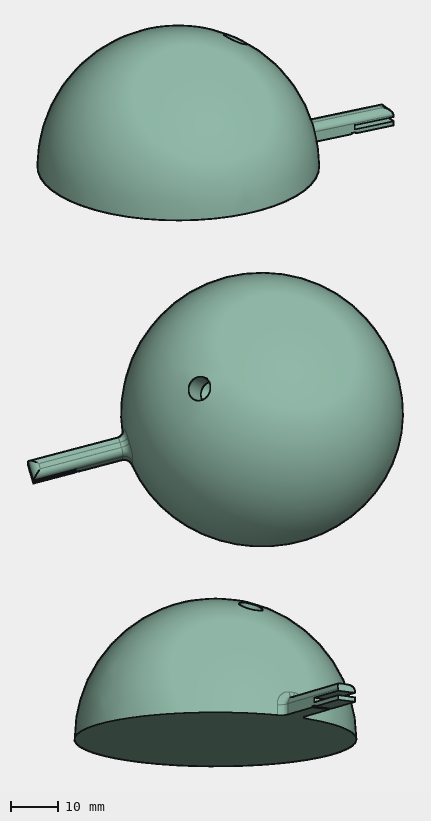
import cadquery as cq
import math

dome_radius = 29.95

stem_end = 80.9 - dome_radius
stem_width = 4.3
stem_height = 4.0
stem_edge_radius = 1.5
root_fillet = 1.8

tip_radius = 1.95

slot_length = 9.4
slot_bottom = 1.0
slot_height = 1.0
groove_width = 1.0
groove_overlap = 0.25
groove_depth = 0.25

hole_diameter = 5.2
hole_depth = 6.0
hole_tilt = 27.5
drill_point_angle = 118.0


def make_dome():
    """Upper half of a sphere."""
    quarter = cq.Workplane("XZ").moveTo(0, 0).lineTo(dome_radius, 0)
    quarter = quarter.radiusArc((0, dome_radius), -dome_radius).close()
    return quarter.revolve(360, (0, 0, 0), (0, 1, 0))


def make_stem():
    """Bar with rounded upper edges, starting inside the dome."""
    bar = cq.Workplane("XY").box(stem_width, stem_end, stem_height, centered=(True, False, False))
    return bar.edges("|Y and >Z").fillet(stem_edge_radius)


def blend_root(body):
    """Fillet the edges where the sides and top of the stem leave the dome."""
    margin = 0.8
    root = cq.selectors.BoxSelector(
        (-stem_width / 2 - 0.1, dome_radius - margin, 0.1),
        (stem_width / 2 + 0.1, dome_radius + margin, stem_height + margin),
    )
    return body.edges(root).fillet(root_fillet)


def across_stem(profile):
    """Cutter with the given YZ outline, spanning the full stem width."""
    return cq.Workplane("YZ").polyline(profile).close().extrude(stem_width, both=True)


def rectangle(y_start, y_end, z_bottom, z_top):
    """Corner points of a rectangle in the YZ plane."""
    return [(y_start, z_bottom), (y_end, z_bottom), (y_end, z_top), (y_start, z_top)]


def make_tip_cuts():
    """Rounded tip, slot and groove at the free end of the stem."""
    tip_corner = (
        cq.Workplane("YZ")
        .moveTo(stem_end - tip_radius, stem_height)
        .radiusArc((stem_end, stem_height - tip_radius), tip_radius)
        .lineTo(stem_end, stem_height)
        .close()
        .extrude(stem_width, both=True)
    )
    slot_start = stem_end - slot_length
    slot = across_stem(rectangle(slot_start, stem_end, slot_bottom, slot_bottom + slot_height))
    groove_end = slot_start + groove_overlap
    groove = across_stem(rectangle(groove_end - groove_width, groove_end, 0, groove_depth))
    return [tip_corner, slot, groove]


def make_hole():
    """Drill along a dome radius: cylinder with a conical point, running past the surface."""
    clearance = 1.6
    hole_radius = hole_diameter / 2
    shoulder = dome_radius - hole_depth
    point_length = hole_radius / math.tan(math.radians(drill_point_angle / 2))
    outline = [
        (0, shoulder - point_length),
        (hole_radius, shoulder),
        (hole_radius, dome_radius + clearance),
        (0, dome_radius + clearance),
    ]
    drill = cq.Workplane("XZ").polyline(outline).close().revolve(360, (0, 0, 0), (0, 1, 0))
    return drill.rotate((0, 0, 0), (1, 0, 0), -hole_tilt)


result = blend_root(make_dome().union(make_stem()))
for cutter in make_tip_cuts():
    result = result.cut(cutter)
result = result.cut(make_hole())